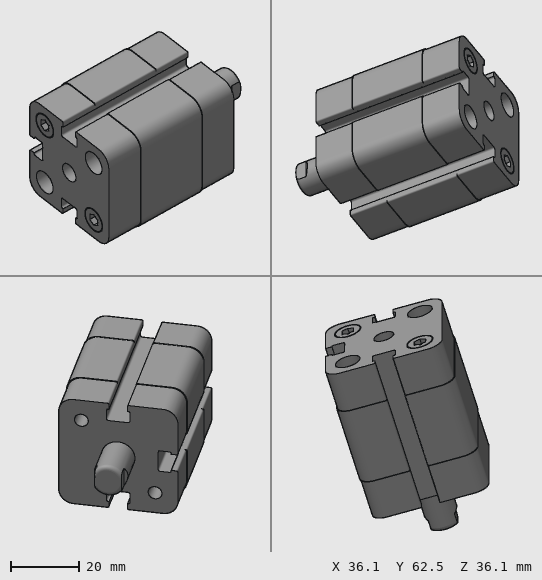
import cadquery as cq
import math

total_length = 62.5
body_length = 48.0
cap_length = 12.25
barrel_size = 36.1
cap_size = 35.6
barrel_corner_radius = 4.7
cap_corner_radius = 4.5

slot_mouth_width = 5.5
slot_inner_width = 7.0
slot_lip_depth = 2.25
slot_depth = 6.1
slot_mouth_rounding = 0.5
slot_pocket_rounding = 0.6

hole_offset = 11.0
through_diameter = 4.1
counterbore_depth = 4.5
mount_bore_diameter = 7.5
screw_bore_diameter = 8.0
screw_head_diameter = 7.5
hex_across_flats = 3.5
hex_depth = 3.0

port_diameter = 6.0
port_depth = 6.0

rod_diameter = 10.0
rod_tip_rounding = 1.25
rod_flat_width = 8.0
rod_flat_length = 3.5

half_barrel = barrel_size / 2


def along_y(start):
    """Workplane at Y = start with local axes X and Z; extrude a negative length to go toward +Y."""
    return cq.Workplane("XZ", origin=(0, start, 0))


def slot_cutter(outer_size):
    """T-slot open toward +Z, with its mouth edges rounded into a side of the given block size."""
    side = outer_size / 2
    half_mouth = slot_mouth_width / 2
    lip = half_barrel - slot_lip_depth
    floor = half_barrel - slot_depth
    middle = (lip + floor) / 2
    pocket = (
        along_y(0)
        .center(0, middle)
        .rect(slot_inner_width, lip - floor)
        .extrude(-body_length)
        .edges("|Y")
        .fillet(slot_pocket_rounding)
    )
    flare = half_mouth + slot_mouth_rounding
    shoulder = side - slot_mouth_rounding
    mouth = (
        along_y(0)
        .moveTo(-half_mouth, middle)
        .lineTo(-half_mouth, shoulder)
        .radiusArc((-flare, side), -slot_mouth_rounding)
        .lineTo(flare, side)
        .radiusArc((half_mouth, shoulder), -slot_mouth_rounding)
        .lineTo(half_mouth, middle)
        .close()
        .extrude(-body_length)
    )
    return pocket.union(mouth)


def slotted_block(size, corner_radius, start, length):
    """Rounded block with T-slots on its +Z, -X and -Z sides."""
    block = along_y(start).rect(size, size).extrude(-length)
    block = block.edges("|Y").fillet(corner_radius)
    cutter = slot_cutter(size)
    for angle in (0, -90, 180):
        block = block.cut(cutter.rotate((0, 0, 0), (0, 1, 0), angle))
    return block


def cylinder(diameter, x, z, depth):
    """Cylinder running from the front face into the body."""
    return along_y(0).center(x, z).circle(diameter / 2).extrude(-depth)


def socket_screw(x, z):
    """Head of a socket screw, flush with the front face."""
    hex_across_corners = hex_across_flats / math.cos(math.radians(30))
    hexagon = (
        along_y(0)
        .center(x, z)
        .polygon(6, hex_across_corners)
        .extrude(-hex_depth)
        .rotate((x, 0, z), (x, 1, z), 90)
    )
    return cylinder(screw_head_diameter, x, z, counterbore_depth).cut(hexagon)


def piston_rod():
    """Rod with a rounded tip and two wrench flats that run out at 45 degrees."""
    rod = (
        along_y(body_length)
        .circle(rod_diameter / 2)
        .extrude(body_length - total_length)
        .faces(">Y")
        .edges()
        .fillet(rod_tip_rounding)
    )
    flat = rod_flat_width / 2
    flat_end = total_length - rod_flat_length
    runout = rod_diameter / 2 - flat
    right_flat = (
        cq.Workplane("XY")
        .polyline([
            (flat, total_length),
            (flat, flat_end),
            (flat + runout, flat_end - runout),
            (flat + runout, total_length),
        ])
        .close()
        .extrude(rod_diameter / 2, both=True)
    )
    return rod.cut(right_flat).cut(right_flat.mirror("YZ"))


barrel_length = body_length - 2 * cap_length
body = slotted_block(barrel_size, barrel_corner_radius, cap_length, barrel_length)
for cap_start in (0, body_length - cap_length):
    body = body.union(slotted_block(cap_size, cap_corner_radius, cap_start, cap_length))

for side in (-1, 1):
    across = side * hole_offset
    body = body.cut(cylinder(through_diameter, across, across, body_length))
    body = body.cut(cylinder(mount_bore_diameter, across, across, counterbore_depth))
    body = body.cut(cylinder(screw_bore_diameter, across, -across, counterbore_depth))
    body = body.union(socket_screw(across, -across))

body = body.cut(cylinder(port_diameter, 0, 0, port_depth))

result = body.union(piston_rod())